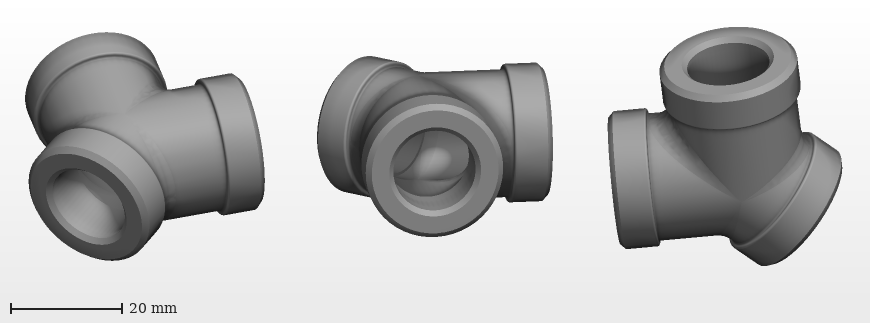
import cadquery as cq
import math

inlet_length = 14.0
branch_length = 23.0
branch_angle = 45

pipe_radius = 11.5
collar_radius = 12.5
collar_length = 7.05
end_chamfer = collar_radius - pipe_radius
collar_round = 0.4
collar_root = 0.35

mouth_radius = 8.35
socket_radius = 7.45
mouth_depth = mouth_radius - socket_radius
socket_depth = 9.75
passage_radius = 8.0
wall_middle_radius = (passage_radius + pipe_radius) / 2

blend_radius = 4.0

arms = [
    (branch_angle, branch_length),
    (180, inlet_length),
    (360 - branch_angle, branch_length),
]


def revolve_arm(outline, turn):
    """Spin a closed outline about the Y axis, then turn it into its arm's direction."""
    solid = outline.revolve(360, (0, 0), (0, 1))
    return solid.rotate((0, 0, 0), (0, 0, 1), turn)


def rod(radius, start, end):
    """Outline of a rod between two distances from the junction."""
    points = [(0, start), (radius, start), (radius, end), (0, end)]
    return cq.Workplane("XY").polyline(points).close()


def sector(start, end):
    """Block covering the angles from start to end about Z, measured from +Y."""
    reach = 4 * branch_length
    corners = [(0, 0)]
    for angle in (start, (start + end) / 2, end):
        turn = math.radians(angle)
        corners.append((-reach * math.sin(turn), reach * math.cos(turn)))
    return cq.Workplane("XY").polyline(corners).close().extrude(reach, both=True)


def blended_rods(radius):
    """Three rods mitred at the planes between neighbouring arms, with the mitres rounded."""
    body = cq.Workplane("XY")
    for index, (turn, length) in enumerate(arms):
        before = arms[index - 1][0]
        after = arms[(index + 1) % len(arms)][0]
        start = turn - ((turn - before) % 360) / 2
        end = turn + ((after - turn) % 360) / 2
        arm = revolve_arm(rod(radius, -length, length), turn)
        body = body.add(arm.intersect(sector(start, end)))
    return body.combine().edges("%ELLIPSE").fillet(blend_radius)


def collar(turn, length):
    """Thicker end of an arm, with a chamfered end face and a rounded step down to the pipe."""
    back = length - collar_length
    outline = (
        cq.Workplane("XY")
        .moveTo(0, back - collar_root)
        .lineTo(pipe_radius, back - collar_root)
        .radiusArc((pipe_radius + collar_root, back), collar_root)
        .lineTo(collar_radius - collar_round, back)
        .radiusArc((collar_radius, back + collar_round), -collar_round)
        .lineTo(collar_radius, length - end_chamfer)
        .lineTo(collar_radius - end_chamfer, length)
        .lineTo(0, length)
        .close()
    )
    return revolve_arm(outline, turn)


def socket_wall(turn, length):
    """Sleeve that narrows the passage to the socket bore, from the inner step to the end face."""
    step = length - socket_depth
    sleeve = revolve_arm(rod(wall_middle_radius, step, length), turn)
    return sleeve.cut(revolve_arm(rod(socket_radius, step, length), turn))


def mouth(turn, length):
    """Conical lead-in at the end face."""
    points = [
        (0, length - mouth_depth),
        (socket_radius, length - mouth_depth),
        (mouth_radius, length),
        (0, length),
    ]
    return revolve_arm(cq.Workplane("XY").polyline(points).close(), turn)


result = blended_rods(pipe_radius)
for turn, length in arms:
    result = result.union(collar(turn, length))

result = result.cut(blended_rods(passage_radius))
for turn, length in arms:
    result = result.union(socket_wall(turn, length)).cut(mouth(turn, length))